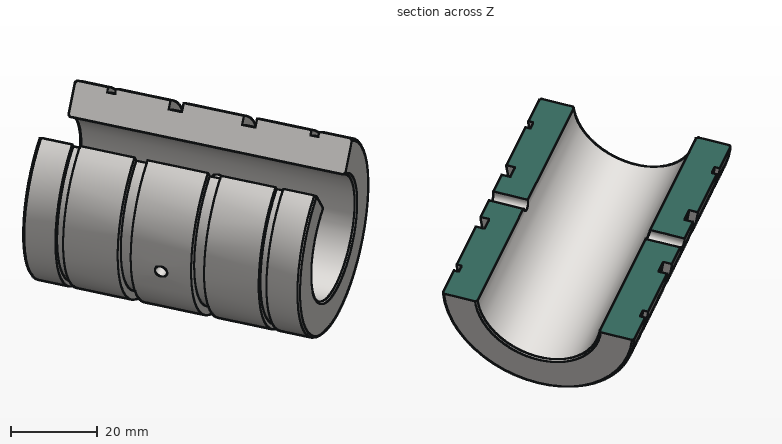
import cadquery as cq
import math

length = 68.0
outer_diameter = 47.0
bore_diameter = 30.0
edge_chamfer = 0.5

flank_angle = 35.0
lip_height = 20.1

narrow_groove_start = 8.1
narrow_groove_width = 1.9
narrow_groove_depth = 1.2
wide_groove_start = 23.4
wide_groove_width = 3.2
wide_groove_depth = 2.1

hole_diameter = 3.0
hole_tilt = 2.5
hole_drop = 1.0

outer_radius = outer_diameter / 2
bore_radius = bore_diameter / 2


def make_sleeve():
    """Full ring with chamfered inner and outer end edges."""
    ring = cq.Workplane("YZ").circle(outer_radius).circle(bore_radius).extrude(length)
    return ring.faces("<X or >X").edges().chamfer(edge_chamfer)


def make_groove(start, width, depth):
    """Ring-shaped cutter for an outside groove."""
    return (
        cq.Workplane("YZ", origin=(start, 0, 0))
        .circle(outer_radius + depth)
        .circle(outer_radius - depth)
        .extrude(width)
    )


def make_opening():
    """Triangular prism whose flanks meet the outside at the lip height."""
    slope = math.tan(math.radians(flank_angle))
    lip_half_width = math.sqrt(outer_radius**2 - lip_height**2)
    apex_height = lip_height - lip_half_width / slope
    top_height = outer_diameter
    top_half_width = (top_height - apex_height) * slope
    return (
        cq.Workplane("YZ")
        .moveTo(0, apex_height)
        .lineTo(top_half_width, top_height)
        .lineTo(-top_half_width, top_height)
        .close()
        .extrude(length)
    )


def make_hole(side):
    """Cylinder from just below the axis out through the wall on the given Y side."""
    tilt = math.radians(hole_tilt)
    direction = cq.Vector(0, side * math.cos(tilt), -math.sin(tilt))
    start = cq.Vector(length / 2, 0, -hole_drop)
    return cq.Solid.makeCylinder(hole_diameter / 2, outer_diameter, start, direction)


result = make_sleeve()

for start, width, depth in (
    (narrow_groove_start, narrow_groove_width, narrow_groove_depth),
    (wide_groove_start, wide_groove_width, wide_groove_depth),
):
    mirrored_start = length - start - width
    for groove_start in (start, mirrored_start):
        result = result.cut(make_groove(groove_start, width, depth))

result = result.cut(make_opening())

for side in (-1, 1):
    result = result.cut(make_hole(side))